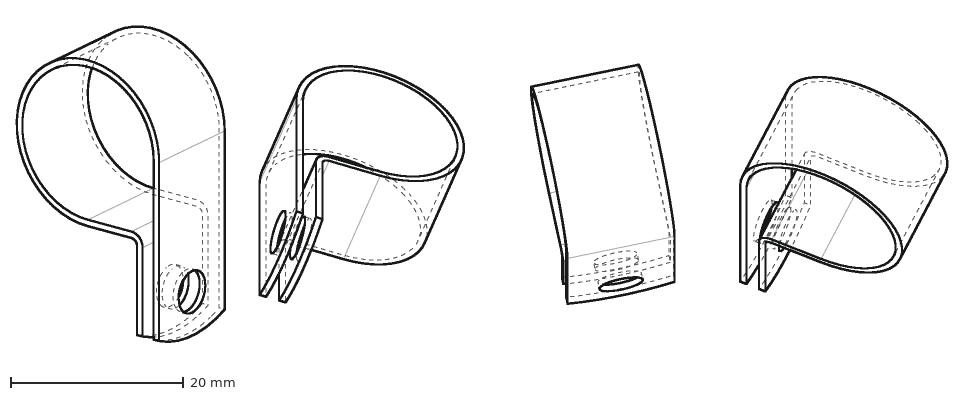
import cadquery as cq
import math

height = 33.9
strap_width = 12.7
thickness = 0.8
loop_radius = 10.35

leg_gap = 1.6
bend_inner_radius = 0.8

hole_diameter = 5.15
hole_height = 5.5
end_arc_rise = 1.32

inner_radius = loop_radius - thickness
bottom = loop_radius - height
short_leg_outer = inner_radius - leg_gap
short_leg_inner = short_leg_outer - thickness
bend_outer_radius = bend_inner_radius + thickness
bend_x = short_leg_inner - bend_inner_radius
bend_z = -loop_radius - bend_inner_radius


def make_strap():
    """Bent strip: long leg, three-quarter loop, shelf, bend and short leg."""
    diagonal = math.sqrt(0.5)
    return (
        cq.Workplane("XZ")
        .moveTo(inner_radius, bottom)
        .lineTo(loop_radius, bottom)
        .lineTo(loop_radius, 0)
        .threePointArc((-loop_radius * diagonal, loop_radius * diagonal), (0, -loop_radius))
        .lineTo(bend_x, -loop_radius)
        .radiusArc((short_leg_inner, bend_z), bend_inner_radius)
        .lineTo(short_leg_inner, bottom)
        .lineTo(short_leg_outer, bottom)
        .lineTo(short_leg_outer, bend_z)
        .radiusArc((bend_x, -inner_radius), -bend_outer_radius)
        .lineTo(0, -inner_radius)
        .threePointArc((-inner_radius * diagonal, inner_radius * diagonal), (inner_radius, 0))
        .close()
        .extrude(strap_width)
        .translate((0, strap_width / 2, 0))
    )


def make_end_envelope():
    """Block whose curved underside rounds the ends of both legs."""
    half_width = strap_width / 2
    corner_z = bottom + end_arc_rise
    return (
        cq.Workplane("YZ")
        .moveTo(-half_width, loop_radius)
        .lineTo(-half_width, corner_z)
        .threePointArc((0, bottom), (half_width, corner_z))
        .lineTo(half_width, loop_radius)
        .close()
        .extrude(loop_radius, both=True)
    )


def make_hole():
    """Cylinder that passes through both legs."""
    return (
        cq.Workplane("YZ")
        .center(0, bottom + hole_height)
        .circle(hole_diameter / 2)
        .extrude(loop_radius)
    )


result = make_strap().intersect(make_end_envelope()).cut(make_hole())